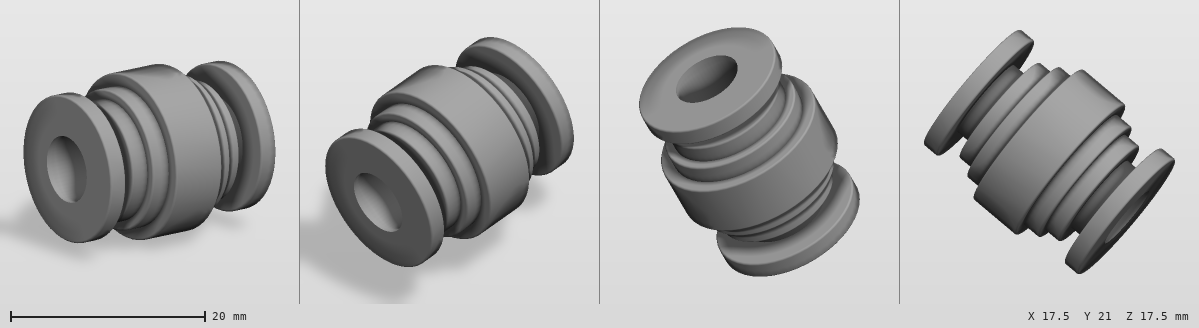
import cadquery as cq

bore_diameter = 7.0
edge_radius = 0.2

body_diameter = 17.5
body_length = 5.8
inner_step_diameter = 14.8
inner_step_length = 9.8
outer_step_diameter = 12.8
outer_step_length = 13.6
neck_diameter = 9.0
flange_diameter = 15.5
flange_thickness = 1.9
total_length = 21.0


def disc(diameter, length, center_y=0.0):
    """Solid cylinder along Y, centred on center_y."""
    start = cq.Workplane("XZ", origin=(0, center_y + length / 2, 0))
    return start.circle(diameter / 2).extrude(length)


def rounded_disc(diameter, length, center_y=0.0):
    """Cylinder along Y with both rims rounded."""
    return disc(diameter, length, center_y).edges().fillet(edge_radius)


def stepped_core():
    """Central body, the two steps on either side of it, and the neck to the flanges."""
    core = disc(neck_diameter, total_length - flange_thickness)
    core = core.union(rounded_disc(outer_step_diameter, outer_step_length))
    core = core.union(rounded_disc(inner_step_diameter, inner_step_length))
    return core.union(rounded_disc(body_diameter, body_length))


def add_flanges(part):
    """Rounded flange at each end of the neck."""
    flange_center = (total_length - flange_thickness) / 2
    for side in (-1, 1):
        part = part.union(rounded_disc(flange_diameter, flange_thickness, side * flange_center))
    return part


def cut_bore(part):
    """Through bore along the axis."""
    return part.cut(disc(bore_diameter, total_length))


result = cut_bore(add_flanges(stepped_core()))